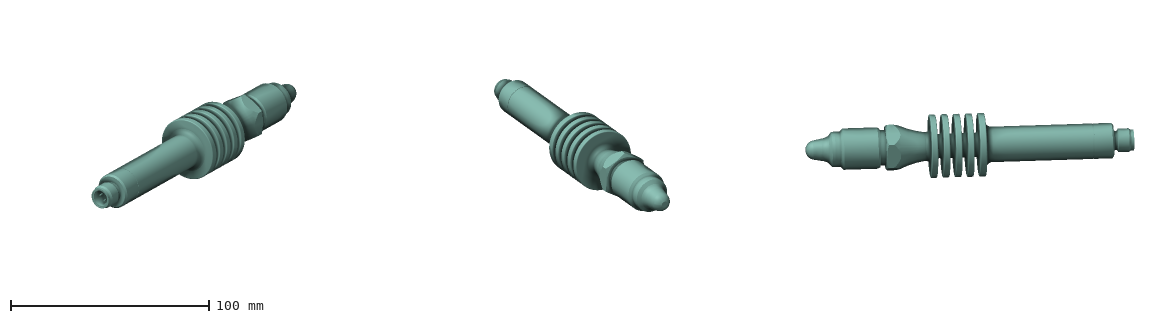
import cadquery as cq
import math

LENGTH = 166.0

PLUG_RADIUS = 6.0
PLUG_TIP_RADIUS = 5.3
PLUG_NECK_RADIUS = 4.8
PLUG_TIP_LENGTH = 1.5
PLUG_CHAMFER_END_Y = 2.5
PLUG_SHOULDER_Y = 7.8
PLUG_NECK_START_Y = 8.6
PLUG_NECK_END_Y = 9.3

SOCKET_MOUTH_RADIUS = 9.5 / 2
SOCKET_RADIUS = 4.2
SOCKET_MOUTH_DEPTH = 0.3
SOCKET_DEPTH = 8.3
PIN_COUNT = 4
PIN_RADIUS = 0.42
PIN_CIRCLE_RADIUS = 2.5
PIN_RECESS = 3.3
KEY_WIDTH = 1.0
KEY_HEIGHT = 0.7
KEY_ANGLE = -45.0

HANDLE_RADIUS = 9.0
HANDLE_START_Y = 10.3
HANDLE_CHAMFER = 0.8
GROOVE_Y = 20.5
GROOVE_WIDTH = 0.5
GROOVE_DEPTH = 0.2

FIN_COUNT = 5
FIN_RADIUS = 32.0 / 2
FIN_THICKNESS = 3.2
FIRST_FIN_THICKNESS = 3.3
FIN_PITCH = 6.1
FIN_GAP = FIN_PITCH - FIN_THICKNESS
FIN_EDGE_ROUND = 0.5
FIN_START_Y = 75.4
FIN_CORE_RADIUS = 6.1
FIN_STACK_END_Y = FIN_START_Y + FIRST_FIN_THICKNESS + (FIN_COUNT - 1) * FIN_PITCH
HANDLE_FLARE_START_Y = 71.9
HANDLE_FLARE_END = (11.3, 74.9)

FLARE_RADIUS = 14.5 / 2
FLARE_FILLET = 2.3
FLARE_START_Y = FIN_STACK_END_Y + FLARE_FILLET
FLARE_MIDDLE = (9.1, 113.9)
HEX_ACROSS_FLATS = 22.0
HEX_BODY_RADIUS = 12.8
HEX_START_Y = 122.2
HEX_END_Y = 125.9
HEX_END_CHAMFER = (2.2, 1.2)

BARREL_NECK_RADIUS = 9.0
BARREL_RADIUS = 10.5
BARREL_START_Y = 128.7
BARREL_END_Y = 147.3
BARREL_END_CHAMFER = BARREL_RADIUS - BARREL_NECK_RADIUS
BARREL_START_CHAMFER = (0.7, 1.2)

TIP_LEAD_Y = 151.6
TIP_SHOULDER = (8.8, 153.1)
TIP_CHAMFER_END = (7.0, 154.6)
TIP_CURVE_MIDDLE = (6.1, 156.1)
TIP_CONE_START = (5.6, 158.0)
TIP_CONE_END = (4.8, 162.5)
TIP_ROUND_MIDDLE = (3.7, 164.7)
TIP_FLAT_RADIUS = 1.7


def turned_body():
    """Half profile of (radius, Y) points revolved about the Y axis."""
    diagonal = 1 - math.sqrt(0.5)
    profile = (
        cq.Workplane("XY")
        .moveTo(0, 0)
        .lineTo(PLUG_TIP_RADIUS, 0)
        .lineTo(PLUG_TIP_RADIUS, PLUG_TIP_LENGTH)
        .lineTo(PLUG_RADIUS, PLUG_CHAMFER_END_Y)
        .lineTo(PLUG_RADIUS, PLUG_SHOULDER_Y)
        .lineTo(PLUG_NECK_RADIUS, PLUG_NECK_START_Y)
        .lineTo(PLUG_NECK_RADIUS, PLUG_NECK_END_Y)
        .lineTo(PLUG_TIP_RADIUS, HANDLE_START_Y)
        .lineTo(HANDLE_RADIUS - HANDLE_CHAMFER, HANDLE_START_Y)
        .lineTo(HANDLE_RADIUS, HANDLE_START_Y + HANDLE_CHAMFER)
        .lineTo(HANDLE_RADIUS, HANDLE_FLARE_START_Y)
        .tangentArcPoint(HANDLE_FLARE_END, relative=False)
        .lineTo(FIN_RADIUS, FIN_START_Y)
        .lineTo(FIN_RADIUS, FIN_STACK_END_Y)
        .lineTo(FLARE_RADIUS + FLARE_FILLET, FIN_STACK_END_Y)
        .threePointArc(
            (FLARE_RADIUS + diagonal * FLARE_FILLET, FIN_STACK_END_Y + diagonal * FLARE_FILLET),
            (FLARE_RADIUS, FLARE_START_Y),
        )
        .threePointArc(FLARE_MIDDLE, (HEX_BODY_RADIUS, HEX_START_Y))
        .lineTo(HEX_BODY_RADIUS, HEX_END_Y - HEX_END_CHAMFER[1])
        .lineTo(HEX_BODY_RADIUS - HEX_END_CHAMFER[0], HEX_END_Y)
        .lineTo(BARREL_NECK_RADIUS, HEX_END_Y)
        .lineTo(BARREL_NECK_RADIUS, BARREL_START_Y)
        .lineTo(BARREL_RADIUS - BARREL_START_CHAMFER[0], BARREL_START_Y)
        .lineTo(BARREL_RADIUS, BARREL_START_Y + BARREL_START_CHAMFER[1])
        .lineTo(BARREL_RADIUS, BARREL_END_Y)
        .lineTo(BARREL_NECK_RADIUS, BARREL_END_Y + BARREL_END_CHAMFER)
        .lineTo(BARREL_NECK_RADIUS, TIP_LEAD_Y)
        .lineTo(*TIP_SHOULDER)
        .lineTo(*TIP_CHAMFER_END)
        .threePointArc(TIP_CURVE_MIDDLE, TIP_CONE_START)
        .lineTo(*TIP_CONE_END)
        .threePointArc(TIP_ROUND_MIDDLE, (TIP_FLAT_RADIUS, LENGTH))
        .lineTo(0, LENGTH)
        .close()
    )
    return profile.revolve(360, (0, 0, 0), (0, 1, 0))


def cylinder_along_y(radius, start_y, length):
    """Cylinder on the Y axis growing towards +Y."""
    return cq.Workplane("XZ", origin=(0, start_y, 0)).circle(radius).extrude(-length)


def cut_hex_flats(body):
    """Trim the flared collar to a hexagon with two flats facing -X and +X."""
    length = HEX_END_Y - FLARE_START_Y
    corner_diameter = HEX_ACROSS_FLATS / math.cos(math.pi / 6)
    blank = cylinder_along_y(2 * HEX_BODY_RADIUS, FLARE_START_Y, length)
    hexagon = (
        cq.Workplane("XZ", origin=(0, FLARE_START_Y, 0))
        .transformed(rotate=(0, 0, 30))
        .polygon(6, corner_diameter)
        .extrude(-length)
    )
    return body.cut(blank.cut(hexagon))


def cut_fin_gaps(body):
    """Ring grooves with a full-round bottom that leave equal fins between them."""
    for index in range(FIN_COUNT - 1):
        start_y = FIN_START_Y + FIRST_FIN_THICKNESS + index * FIN_PITCH
        end_y = start_y + FIN_GAP
        straight_radius = FIN_CORE_RADIUS + FIN_GAP / 2
        gap = (
            cq.Workplane("XY")
            .moveTo(FIN_RADIUS, start_y)
            .lineTo(straight_radius, start_y)
            .threePointArc((FIN_CORE_RADIUS, start_y + FIN_GAP / 2), (straight_radius, end_y))
            .lineTo(FIN_RADIUS, end_y)
            .close()
            .revolve(360, (0, 0, 0), (0, 1, 0))
        )
        body = body.cut(gap)
    return body


def round_fin_rims(body):
    """Round both outer edges of every fin."""
    rims = body.edges("%CIRCLE").filter(lambda edge: math.isclose(edge.radius(), FIN_RADIUS))
    return rims.fillet(FIN_EDGE_ROUND)


def cut_handle_groove(body):
    """Shallow ring groove near the plug end of the handle."""
    outer = cylinder_along_y(HANDLE_RADIUS, GROOVE_Y, GROOVE_WIDTH)
    inner = cylinder_along_y(HANDLE_RADIUS - GROOVE_DEPTH, GROOVE_Y, GROOVE_WIDTH)
    return body.cut(outer.cut(inner))


def cut_socket(body):
    """Blind socket with a wider mouth, contact pins and a locating key."""
    bore = cylinder_along_y(SOCKET_RADIUS, 0, SOCKET_DEPTH)
    mouth = cylinder_along_y(SOCKET_MOUTH_RADIUS, 0, SOCKET_MOUTH_DEPTH)
    pins = (
        cq.Workplane("XZ", origin=(0, PIN_RECESS, 0))
        .polarArray(PIN_CIRCLE_RADIUS, 0, 360, PIN_COUNT)
        .circle(PIN_RADIUS)
        .extrude(PIN_RECESS - SOCKET_DEPTH)
    )
    key = (
        cq.Workplane("XY")
        .box(KEY_HEIGHT, SOCKET_DEPTH - SOCKET_MOUTH_DEPTH, KEY_WIDTH, centered=(True, False, True))
        .translate((SOCKET_RADIUS - KEY_HEIGHT / 2, SOCKET_MOUTH_DEPTH, 0))
        .rotate((0, 0, 0), (0, 1, 0), -KEY_ANGLE)
    )
    return body.cut(bore.union(mouth).cut(pins).cut(key))


result = turned_body()
result = cut_hex_flats(result)
result = cut_fin_gaps(result)
result = round_fin_rims(result)
result = cut_handle_groove(result)
result = cut_socket(result)